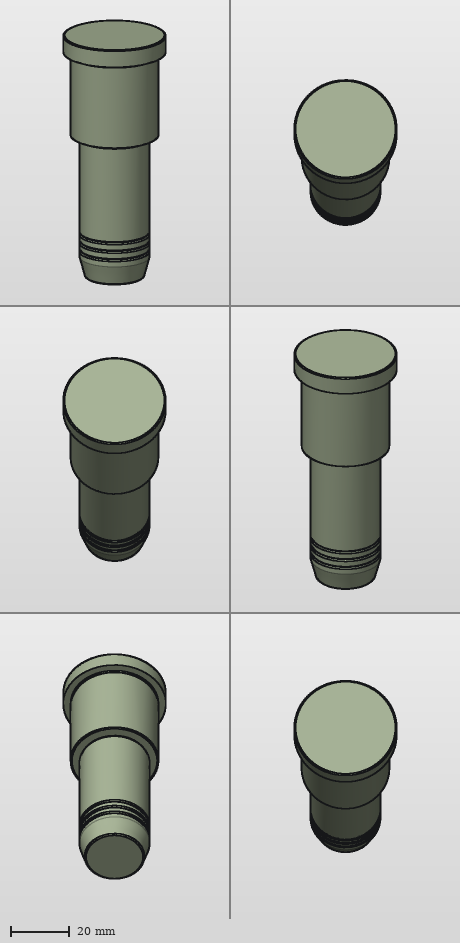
import cadquery as cq
import math

length = 86.0
head_radius = 35.0 / 2
body_radius = 30.0 / 2
shank_radius = 24.0 / 2

head_bottom = length - 6.0
body_bottom = length - 35.9
tip_height = 7.1

head_edge_width = 0.5
head_edge_height = 0.35
body_edge_width = 0.5
body_edge_height = 0.3
tip_edge_width = 0.5
tip_edge_height = 0.4
tip_angle = 15.0
tip_radius = shank_radius - tip_height * math.tan(math.radians(tip_angle))
tip_edge_radius = tip_radius + tip_edge_height * math.tan(math.radians(tip_angle))

shank_relief_depth = 0.5
shank_relief_height = 1.0

groove_width = 1.0
body_groove_depth = 0.35
ring_groove_depth = 0.5
ring_groove_count = 3
ring_groove_pitch = 3.0
first_ring_groove_top = length - 70.0


def make_blank():
    """Revolve the stepped outline without its grooves."""
    return (
        cq.Workplane("XZ")
        .moveTo(0, 0)
        .lineTo(tip_edge_radius - tip_edge_width, 0)
        .lineTo(tip_edge_radius, tip_edge_height)
        .lineTo(shank_radius, tip_height)
        .lineTo(shank_radius, body_bottom)
        .lineTo(body_radius - body_edge_width, body_bottom)
        .lineTo(body_radius, body_bottom + body_edge_height)
        .lineTo(body_radius, head_bottom)
        .lineTo(head_radius, head_bottom)
        .lineTo(head_radius, length - head_edge_height)
        .lineTo(head_radius - head_edge_width, length)
        .lineTo(0, length)
        .close()
        .revolve(360, (0, 0, 0), (0, 1, 0))
    )


def make_relief(outer_radius, depth, top, height):
    """Square-walled ring to cut from a cylinder of the given radius, starting at height top."""
    return (
        cq.Workplane("XY", origin=(0, 0, top - height))
        .circle(outer_radius)
        .circle(outer_radius - depth)
        .extrude(height)
    )


def make_groove(outer_radius, depth, top):
    """V-shaped ring to cut from a cylinder of the given radius, starting at height top."""
    return (
        cq.Workplane("XZ")
        .moveTo(outer_radius, top)
        .lineTo(outer_radius - depth, top - groove_width / 2)
        .lineTo(outer_radius, top - groove_width)
        .close()
        .revolve(360, (0, 0, 0), (0, 1, 0))
    )


result = make_blank()

result = result.cut(make_groove(body_radius, body_groove_depth, head_bottom))

result = result.cut(make_relief(shank_radius, shank_relief_depth, body_bottom, shank_relief_height))

for index in range(ring_groove_count):
    groove_top = first_ring_groove_top - index * ring_groove_pitch
    result = result.cut(make_groove(shank_radius, ring_groove_depth, groove_top))